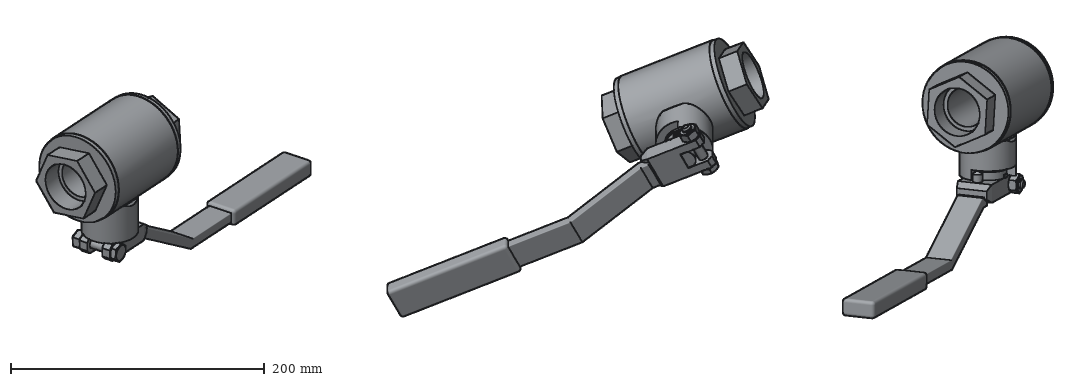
import cadquery as cq
import math


barrel_diameter = 75.0
barrel_length = 88
rim_diameter = 74.0
rim_length = 4.0
cap_flats = 50.0
cap_length = 16.0
front_cap_turn = 7
back_cap_turn = 33.5

bore_diameter = 32.0
socket_diameter = 39.0
socket_depth = 17.5

stem_diameter = 45.0
stem_bottom = -64.7
shoulder_z = -33.0
shoulder_inset = 2.0
shoulder_drop = 2.2
notch_top = -56.2
notch_wall = 4.7
gland_diameter = 31.0
gland_bottom = -59.0
core_diameter = 30.0
spindle_diameter = 18.0
spindle_recess = 1.0
key_width = 4.7
key_height = 2.8
key_reach = 15.7

clamp_width = 29.2
clamp_height = 14.8
clamp_top = -65.5
clamp_front = -20.7
clamp_back = 31.7
clamp_corner = 3.8
clamp_taper_length = 6.3
clamp_nose_rise = 4.0
clamp_nose_width = 25.7
slot_width = 14.5
clamp_middle = clamp_top - clamp_height / 2
clamp_bottom = clamp_top - clamp_height

pin_diameter = 8.0
pin_tip_diameter = 2.5
pin_y = 20.0
pin_height = 6.3
pin_cone_height = 2.2

bolt_y = -13.2
bolt_diameter = 8.0
bolt_overhang = 10.7
bolt_tip_chamfer = 1.5
hex_corners = 16.0
nut_length = 7.5
nut_turn = 90
head_length = 5.5
head_turn = 20
hex_bevel_length = 1.0
hex_bevel_inset = 1.5

strip_width = 22
strip_thickness = 8.5
strip_start_y = 25.7
upper_bend_y = 34.0
lower_bend_y = 95.5
upper_strip_z = -78.8
lower_strip_z = -115.0
strip_edge_round = 0.5
lever_end = 254.0
grip_length = 105.2
grip_width = 28.0
grip_height = 14.0
grip_round = 2.8


def y_cylinder(diameter, length):
    """Cylinder along Y, centred on the origin."""
    return cq.Workplane("XZ").circle(diameter / 2).extrude(length / 2, both=True)


def z_cylinder(diameter, top, bottom):
    """Cylinder hanging along the stem axis."""
    return cq.Workplane("XY").workplane(offset=bottom).circle(diameter / 2).extrude(top - bottom)


def end_cap(side, turn):
    """Hexagonal cap on one end of the barrel; side is -1 or 1 along Y."""
    corner_diameter = cap_flats / math.cos(math.pi / 6)
    reach = barrel_length / 2 + cap_length
    cap = cq.Workplane("XZ").polygon(6, corner_diameter).extrude(-side * reach)
    return cap.rotate((0, 0, 0), (0, 1, 0), -turn)


def make_barrel():
    core = y_cylinder(rim_diameter, barrel_length)
    sleeve = y_cylinder(barrel_diameter, barrel_length - 2 * rim_length)
    return core.union(sleeve).union(end_cap(-1, front_cap_turn)).union(end_cap(1, back_cap_turn))


def make_bore():
    total_length = barrel_length + 2 * cap_length
    bore = y_cylinder(bore_diameter, total_length)
    sockets = y_cylinder(socket_diameter, total_length).cut(
        y_cylinder(socket_diameter, total_length - 2 * socket_depth)
    )
    return bore.union(sockets)


def make_stem():
    radius = stem_diameter / 2
    neck = z_cylinder(gland_diameter, 0, shoulder_z)
    shoulders = (
        cq.Workplane("XZ")
        .moveTo(-radius, stem_bottom)
        .lineTo(radius, stem_bottom)
        .lineTo(radius, shoulder_z - shoulder_drop)
        .lineTo(radius - shoulder_inset, shoulder_z)
        .lineTo(shoulder_inset - radius, shoulder_z)
        .lineTo(-radius, shoulder_z - shoulder_drop)
        .close()
        .extrude(radius, both=True)
    )
    housing = z_cylinder(stem_diameter, shoulder_z, stem_bottom).intersect(shoulders).union(neck)
    notch = (
        cq.Workplane("XY")
        .box(stem_diameter, stem_diameter, notch_top - stem_bottom, centered=False)
        .translate((notch_wall - stem_diameter, -notch_wall, stem_bottom))
    )
    gland = z_cylinder(gland_diameter, notch_top, gland_bottom)
    core = z_cylinder(core_diameter, notch_top, clamp_top)
    key = (
        cq.Workplane("XY")
        .box(key_reach, key_width, key_height, centered=(False, True, False))
        .translate((-key_reach, 0, clamp_top))
    )
    return housing.cut(notch).union(gland).union(core).union(key)


def make_clamp():
    side = (
        cq.Workplane("YZ")
        .moveTo(clamp_front + clamp_corner, clamp_top)
        .lineTo(clamp_back - clamp_taper_length, clamp_top)
        .lineTo(clamp_back, clamp_top - clamp_nose_rise)
        .lineTo(clamp_back, clamp_bottom + clamp_nose_rise)
        .lineTo(clamp_back - clamp_taper_length, clamp_bottom)
        .lineTo(clamp_front + clamp_corner, clamp_bottom)
        .lineTo(clamp_front, clamp_bottom + clamp_corner)
        .lineTo(clamp_front, clamp_top - clamp_corner)
        .close()
        .extrude(clamp_width / 2, both=True)
    )
    plan = (
        cq.Workplane("XY")
        .workplane(offset=clamp_bottom)
        .moveTo(-clamp_width / 2, clamp_front)
        .lineTo(clamp_width / 2, clamp_front)
        .lineTo(clamp_width / 2, clamp_back - clamp_taper_length)
        .lineTo(clamp_nose_width / 2, clamp_back)
        .lineTo(-clamp_nose_width / 2, clamp_back)
        .lineTo(-clamp_width / 2, clamp_back - clamp_taper_length)
        .close()
        .extrude(clamp_height)
    )
    slot = (
        cq.Workplane("XY")
        .box(slot_width, -clamp_front, clamp_height)
        .translate((0, clamp_front / 2, clamp_middle))
    )
    spindle = z_cylinder(spindle_diameter, clamp_top, clamp_bottom + spindle_recess)
    return side.intersect(plan).cut(slot).union(spindle)


def make_stop_pin():
    shank_top = clamp_top + pin_height
    profile = (
        cq.Workplane("XZ")
        .moveTo(0, clamp_middle)
        .lineTo(pin_diameter / 2, clamp_middle)
        .lineTo(pin_diameter / 2, shank_top)
        .lineTo(pin_tip_diameter / 2, shank_top + pin_cone_height)
        .lineTo(0, shank_top + pin_cone_height)
        .close()
    )
    return profile.revolve(360, (0, 0, 0), (0, 1, 0)).translate((0, pin_y, 0))


def bolt_hex(length, turn):
    """Hexagon along X starting at X = 0, with the corners of both ends bevelled."""
    prism = cq.Workplane("YZ").polygon(6, hex_corners).extrude(length)
    disc = cq.Workplane("YZ").circle(hex_corners / 2).extrude(length)
    bevel = disc.edges("%CIRCLE").chamfer(hex_bevel_length, hex_bevel_inset)
    return prism.intersect(bevel).rotate((0, 0, 0), (1, 0, 0), turn)


def make_bolt():
    shank_length = clamp_width + bolt_overhang
    shank = (
        cq.Workplane("YZ")
        .circle(bolt_diameter / 2)
        .extrude(shank_length)
        .faces("<X")
        .chamfer(bolt_tip_chamfer)
        .translate((clamp_width / 2 - shank_length, 0, 0))
    )
    head = bolt_hex(head_length, head_turn).translate((clamp_width / 2, 0, 0))
    nut = bolt_hex(nut_length, nut_turn).translate((clamp_width / 2, 0, 0)).mirror("YZ")
    return shank.union(head).union(nut).translate((0, bolt_y, clamp_middle))


def make_lever():
    half = strip_thickness / 2
    slope = math.atan2(upper_strip_z - lower_strip_z, lower_bend_y - upper_bend_y)
    miter = half * math.tan(slope / 2)
    grip_start = lever_end - grip_length
    strip = (
        cq.Workplane("YZ")
        .moveTo(strip_start_y, upper_strip_z + half)
        .lineTo(upper_bend_y + miter, upper_strip_z + half)
        .lineTo(lower_bend_y + miter, lower_strip_z + half)
        .lineTo(grip_start + grip_round, lower_strip_z + half)
        .lineTo(grip_start + grip_round, lower_strip_z - half)
        .lineTo(lower_bend_y - miter, lower_strip_z - half)
        .lineTo(upper_bend_y - miter, upper_strip_z - half)
        .lineTo(strip_start_y, upper_strip_z - half)
        .close()
        .extrude(strip_width / 2, both=True)
    )
    strip = strip.faces("<X or >X").edges().fillet(strip_edge_round)
    grip = cq.Workplane("XY").box(grip_width, grip_length, grip_height).edges().fillet(grip_round)
    return strip.union(grip.translate((0, lever_end - grip_length / 2, lower_strip_z)))


result = make_barrel().union(make_stem()).cut(make_bore())
for piece in (make_clamp(), make_stop_pin(), make_bolt(), make_lever()):
    result = result.union(piece)